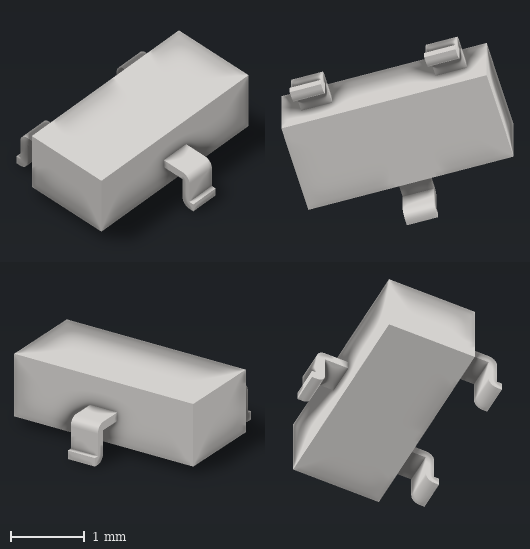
import cadquery as cq

body_width = 1.3
body_length = 2.9
body_height = 0.94
standoff = 0.102

lead_span = 2.4
lead_thickness = 0.128
lead_width = 0.44
lead_pitch = 1.9
lead_top = 0.595
toe_length = 0.072


def make_body():
    """Plain rectangular package, raised above the soles of the feet."""
    return (
        cq.Workplane("XY")
        .workplane(offset=standoff)
        .box(body_width, body_length, body_height, centered=(True, True, False))
    )


def make_lead(side, center_y):
    """One bent lead; side is +1 or -1 for the +X or -X face of the body."""
    root = side * body_width / 2
    toe = side * lead_span / 2
    leg_outer = toe - side * toe_length
    leg_inner = leg_outer - side * lead_thickness
    shoulder_bottom = lead_top - lead_thickness
    bend = lead_thickness * 0.5 ** 0.5
    return (
        cq.Workplane("XZ", origin=(0, center_y + lead_width / 2, 0))
        .moveTo(root, lead_top)
        .lineTo(leg_inner, lead_top)
        .threePointArc(
            (leg_inner + side * bend, shoulder_bottom + bend),
            (leg_outer, shoulder_bottom),
        )
        .lineTo(leg_outer, lead_thickness)
        .lineTo(toe, lead_thickness)
        .lineTo(toe, 0)
        .lineTo(leg_outer, 0)
        .threePointArc(
            (leg_outer - side * bend, lead_thickness - bend),
            (leg_inner, lead_thickness),
        )
        .lineTo(leg_inner, shoulder_bottom)
        .lineTo(root, shoulder_bottom)
        .close()
        .extrude(lead_width)
    )


body = make_body()

lead_places = [(-1, -lead_pitch / 2), (-1, lead_pitch / 2), (1, 0)]
leads = [make_lead(side, center_y) for side, center_y in lead_places]

result = cq.Compound.makeCompound([body.val(), *[lead.val() for lead in leads]])